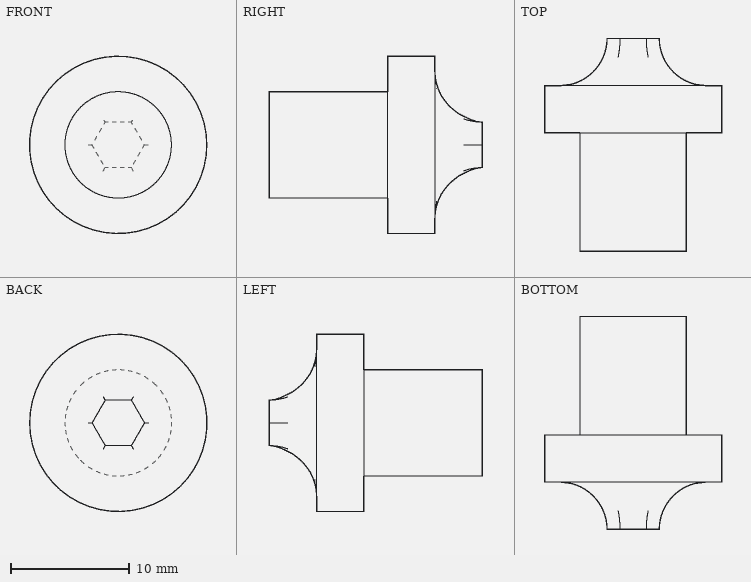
import cadquery as cq
import math

total_length = 18.0
flange_diameter = 15.0
shaft_diameter = 9.0
flange_thickness = 4.0
tip_length = 4.0
tip_corner_radius = 2.21
side_count = 6
section_count = 7

shaft_length = total_length - flange_thickness - tip_length
flare_radius = tip_length
side_angle = 2 * math.pi / side_count


def cylinder(diameter, start, length):
    """Cylinder along +Y, starting at the given Y."""
    circle = cq.Workplane("XZ", origin=(0, start, 0)).circle(diameter / 2)
    return circle.extrude(-length)


def ring_point(radius, angle, y):
    return cq.Vector(radius * math.cos(angle), y, radius * math.sin(angle))


def flare_section(progress):
    """Cross-section: a hexagon at progress 0, its sides bowing out to a circle at progress 1."""
    flare_angle = progress * math.pi / 2
    corner_radius = tip_corner_radius + flare_radius * (1 - math.cos(flare_angle))
    y = total_length - flare_radius * math.sin(flare_angle)
    base_radius = tip_corner_radius + flare_radius
    flat_ratio = math.cos(side_angle / 2)
    bow = progress * base_radius * (1 - flat_ratio)
    middle_radius = corner_radius * flat_ratio + bow

    sides = []
    for side in range(side_count):
        angle = side * side_angle
        start = ring_point(corner_radius, angle, y)
        end = ring_point(corner_radius, angle + side_angle, y)
        if progress == 0:
            sides.append(cq.Edge.makeLine(start, end))
        else:
            middle = ring_point(middle_radius, angle + side_angle / 2, y)
            sides.append(cq.Edge.makeThreePointArc(start, middle, end))
    return cq.Wire.assembleEdges(sides)


def flared_tip():
    """Tip that widens from a hexagonal end to a round foot on the flange."""
    sections = [flare_section(i / (section_count - 1)) for i in range(section_count)]
    return cq.Workplane(obj=cq.Solid.makeLoft(sections))


shaft = cylinder(shaft_diameter, 0, shaft_length)
flange = cylinder(flange_diameter, shaft_length, flange_thickness)
result = shaft.union(flange).union(flared_tip())